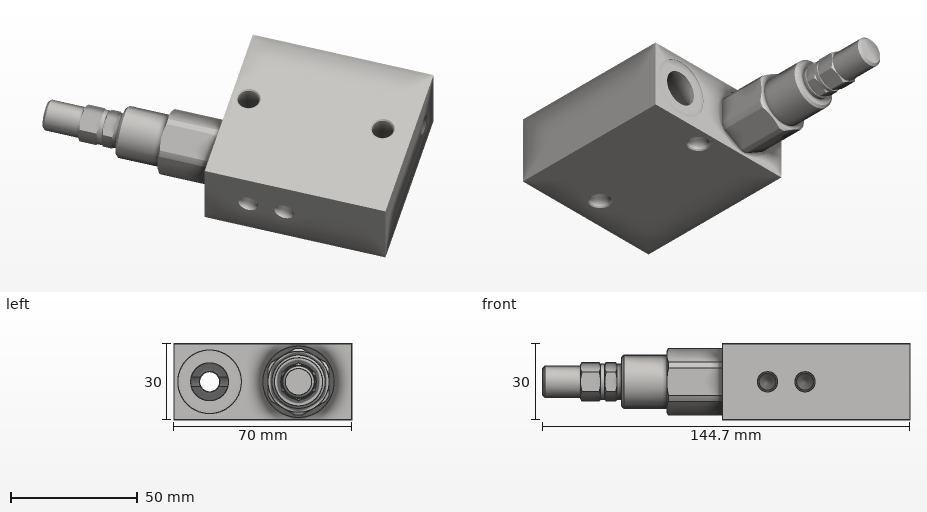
import cadquery as cq
import math


TOTAL_LENGTH = 144.7
BLOCK_LENGTH = 74.0
BLOCK_WIDTH = 70.0
BLOCK_HEIGHT = 30.0
BLOCK_FACE_X = TOTAL_LENGTH - BLOCK_LENGTH
MID_Z = BLOCK_HEIGHT / 2

SPOTFACE_DEPTH = 0.2
SPOTFACE_FLOOR_X = BLOCK_FACE_X + SPOTFACE_DEPTH
VALVE_Y = 21.0
VALVE_SPOTFACE_DIAMETER = 28.0
PORT_Y = BLOCK_WIDTH - 14.0
PORT_SPOTFACE_DIAMETER = 25.0
PORT_DIAMETER = 14.9
PORT_DEPTH = 17.4
PASSAGE_DIAMETER = 8.0
GROOVE_DIAMETER = 7.0
GROOVE_WIDTH = 3.9

MOUNTING_DIAMETER = 8.5
MOUNTING_RIM_DIAMETER = 9.5
MOUNTING_Y = BLOCK_WIDTH - 31.0
MOUNTING_XS = (BLOCK_FACE_X + 7.0, TOTAL_LENGTH - 12.2)

SIDE_BORE_DIAMETER = 8.0
SIDE_BORE_DEPTH = 11.6
SIDE_DRILL_DIAMETER = 6.7
SIDE_DRILL_DEPTH = 14.5
SIDE_HOLE_XS = (BLOCK_FACE_X + 17.8, BLOCK_FACE_X + 32.5)
DRILL_POINT_ANGLE = 118.0

CAP_HEX_X = 14.9
WASHER_THICKNESS = 1.6
OUTER_WASHER_X = 22.9
LOCK_NUT_X = OUTER_WASHER_X + WASHER_THICKNESS
SLEEVE_X = 31.0
INNER_WASHER_X = SLEEVE_X - WASHER_THICKNESS
CARTRIDGE_HEX_X = 48.9

CAP_DIAMETER = 12.5
CAP_CHAMFER = 1.0
NUT_FLATS = 13.0
WASHER_DIAMETER = 14.0
SLEEVE_DIAMETER = 21.0
SLEEVE_CHAMFER = 1.0
CARTRIDGE_FLATS = 24.0
CARTRIDGE_ROUNDED_CORNERS = 26.3
HEX_BEVEL_ANGLE = 30.0
HEX_SIDES = 6


def corners_of(flats):
    """Diameter across the sharp corners of a hexagon."""
    return flats / math.cos(math.pi / HEX_SIDES)


def rod(start_x, end_x, diameter, axis_y=VALVE_Y):
    """Cylinder along X at mid height."""
    plane = cq.Plane(origin=(start_x, axis_y, MID_Z), xDir=(0, 1, 0), normal=(1, 0, 0))
    return cq.Workplane(plane).circle(diameter / 2).extrude(end_x - start_x)


def hexagon(start_x, end_x, flats):
    """Hexagonal bar along the valve axis, with two corners pointing up and down."""
    plane = cq.Plane(origin=(start_x, VALVE_Y, MID_Z), xDir=(0, 0, 1), normal=(1, 0, 0))
    return cq.Workplane(plane).polygon(HEX_SIDES, corners_of(flats)).extrude(end_x - start_x)


def beveled_hexagon(start_x, end_x, flats, corners, beveled_ends):
    """Hexagonal bar trimmed to a diameter across its corners, which are beveled at the chosen ends."""
    bevel_height = (corners - flats) / 2
    bevel_length = bevel_height * math.tan(math.radians(HEX_BEVEL_ANGLE))
    trim = rod(start_x, end_x, corners).faces(beveled_ends).chamfer(bevel_length, bevel_height)
    return hexagon(start_x, end_x, flats).intersect(trim)


def nut(start_x, end_x):
    """Sharp-cornered hexagon with the corners beveled at both ends."""
    return beveled_hexagon(start_x, end_x, NUT_FLATS, corners_of(NUT_FLATS), "<X or >X")


def spotface(diameter, axis_y):
    """Cutter for a shallow round recess in the -X face of the block."""
    return rod(BLOCK_FACE_X, SPOTFACE_FLOOR_X, diameter, axis_y)


def port_cutter():
    """Stepped port through the block, with a shallow round-bottomed groove across its floor."""
    floor_x = BLOCK_FACE_X + PORT_DEPTH
    bore = rod(BLOCK_FACE_X, floor_x, PORT_DIAMETER, PORT_Y)
    passage = rod(BLOCK_FACE_X, TOTAL_LENGTH, PASSAGE_DIAMETER, PORT_Y)
    axis_height = math.sqrt((GROOVE_DIAMETER / 2) ** 2 - (GROOVE_WIDTH / 2) ** 2)
    groove = (
        cq.Workplane("XZ", origin=(floor_x - axis_height, PORT_Y, MID_Z))
        .circle(GROOVE_DIAMETER / 2)
        .extrude(PORT_DIAMETER / 2, both=True)
    )
    groove_limit = rod(BLOCK_FACE_X, floor_x + GROOVE_DIAMETER, PORT_DIAMETER, PORT_Y)
    return bore.union(passage).union(groove.intersect(groove_limit))


def mounting_hole(x):
    """Through hole along Z with a countersunk rim at both ends."""
    rim = (MOUNTING_RIM_DIAMETER - MOUNTING_DIAMETER) / 2
    profile = [
        (0, 0),
        (MOUNTING_RIM_DIAMETER / 2, 0),
        (MOUNTING_DIAMETER / 2, rim),
        (MOUNTING_DIAMETER / 2, BLOCK_HEIGHT - rim),
        (MOUNTING_RIM_DIAMETER / 2, BLOCK_HEIGHT),
        (0, BLOCK_HEIGHT),
    ]
    hole = cq.Workplane("XZ").polyline(profile).close().revolve(360, (0, 0), (0, 1))
    return hole.translate((x, MOUNTING_Y, 0))


def side_hole(x):
    """Blind stepped hole in the -Y face: a bore, then a narrower drilling with a conical end."""
    bore_radius = SIDE_BORE_DIAMETER / 2
    drill_radius = SIDE_DRILL_DIAMETER / 2
    point_length = drill_radius / math.tan(math.radians(DRILL_POINT_ANGLE / 2))
    profile = [
        (0, 0),
        (bore_radius, 0),
        (bore_radius, SIDE_BORE_DEPTH),
        (drill_radius, SIDE_BORE_DEPTH),
        (drill_radius, SIDE_DRILL_DEPTH),
        (0, SIDE_DRILL_DEPTH + point_length),
    ]
    hole = cq.Workplane("XY").polyline(profile).close().revolve(360, (0, 0), (0, 1))
    return hole.translate((x, 0, MID_Z))


def make_block():
    block = cq.Workplane("XY").box(BLOCK_LENGTH, BLOCK_WIDTH, BLOCK_HEIGHT, centered=False)
    block = block.translate((BLOCK_FACE_X, 0, 0))
    block = block.cut(spotface(VALVE_SPOTFACE_DIAMETER, VALVE_Y))
    block = block.cut(spotface(PORT_SPOTFACE_DIAMETER, PORT_Y))
    block = block.cut(port_cutter())
    for x in MOUNTING_XS:
        block = block.cut(mounting_hole(x))
    for x in SIDE_HOLE_XS:
        block = block.cut(side_hole(x))
    return block


def make_cartridge():
    """Chamfered sleeve and a hexagon with rounded corners, seated in the block's spotface."""
    sleeve = rod(SLEEVE_X, CARTRIDGE_HEX_X, SLEEVE_DIAMETER).faces("<X").chamfer(SLEEVE_CHAMFER)
    hex_body = beveled_hexagon(
        CARTRIDGE_HEX_X, SPOTFACE_FLOOR_X, CARTRIDGE_FLATS, CARTRIDGE_ROUNDED_CORNERS, "<X"
    )
    return hex_body.union(sleeve)


def make_washer(start_x):
    return rod(start_x, start_x + WASHER_THICKNESS, WASHER_DIAMETER)


def make_lock_nut():
    return nut(LOCK_NUT_X, INNER_WASHER_X)


def make_cap_nut():
    """Hexagon with a chamfered round cap."""
    cap = rod(0, CAP_HEX_X, CAP_DIAMETER).faces("<X").chamfer(CAP_CHAMFER)
    return nut(CAP_HEX_X, OUTER_WASHER_X).union(cap)


block = make_block()
cartridge = make_cartridge()
washers = [make_washer(x) for x in (OUTER_WASHER_X, INNER_WASHER_X)]
lock_nut = make_lock_nut()
cap_nut = make_cap_nut()

result = cq.Compound.makeCompound(
    [
        block.val(),
        cartridge.val(),
        *[washer.val() for washer in washers],
        lock_nut.val(),
        cap_nut.val(),
    ]
)